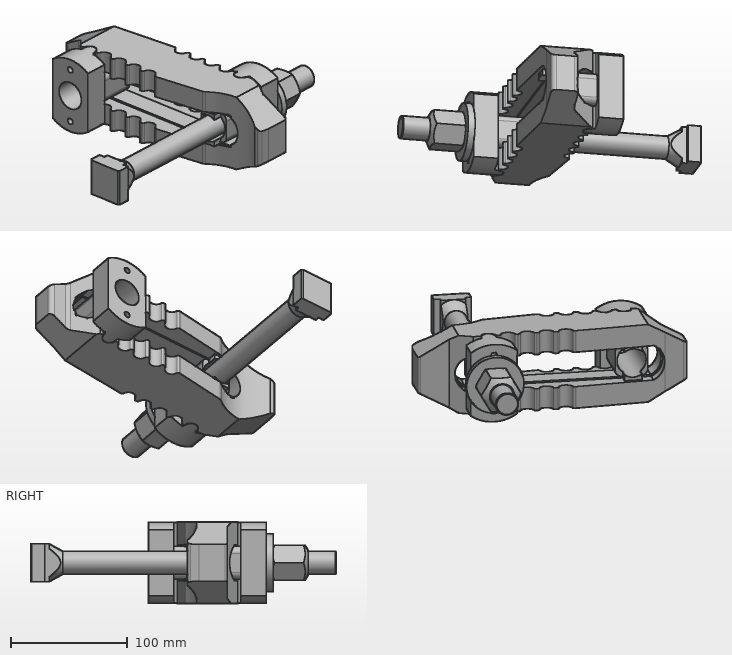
import cadquery as cq
import math


TIP_Y = 26.0
NOTCH_R = 6.3
NOTCH_FLOOR_Y = TIP_Y - NOTCH_R
NOTCH_COUNT = 5
NOTCH_PITCH = 67.5 / (NOTCH_COUNT - 1)
LOWER_X = 47.2
BOLT_X = 175.0
TOOTH_FILLET = 1.8
UPPER_LAND = 2.0
LOWER_LAND = 2.5

BAR_LENGTH = 235.0
BAR_WIDTH = 70.0
BAR_TIP_WIDTH = 31.5
BAR_TAPER = 34.8
TIP_CORNER_R = 4.0
HEEL_TOP_CORNER_R = 2.0
HEEL_CORNER_R = 3.0
BLEND_R = 5.2
TIP_TOP_Y = 19.5
TIP_BOTTOM_Y = -4.5
HEEL_TOP_Y = 17.0
HEEL_BOTTOM_Y = -17.0
HEEL_SLOPE_START_X = 188.6
HEEL_SLOPE_END_X = 207.8
HEEL_TILT_Y = -7.3
HEEL_TOE_X = 234.0
ARCH_START = (172.5, -19.6)
ARCH_CROWN = (201.5, -9.0)
ARCH_END_X = 228.2
TIP_TOP_END_X = 20.2
TIP_BOTTOM_END_X = 18.3
TIP_SLOPE_END_X = 37.2

SLOT_WIDTH = 28.0
SLOT_END_R = 15.5
SLOT_LEFT_X = 21.5
SLOT_RIGHT_X = 201.7
LEDGE_DEPTH = 1.45
SLOT_MOUTH_WIDTH = SLOT_WIDTH + 2 * LEDGE_DEPTH
LEDGE_Y = 9.5

BLOCK_R = 34.8
BLOCK_WIDTH = 40.3
BLOCK_HEIGHT = 21.7
BLOCK_FACE_Y = 28.8
RIB_FILLET = 1.0
BORE_D = 25.5
SMALL_HOLE_D = 5.5
SMALL_HOLE_Z = 25.0
HUB_SIZE_X = 28.5
HUB_CORNER_R = 5.8
HOOK_WIDTH = 15.2
HOOK_LENGTH = 8.0

BOLT_D = 20.0
BOLT_TOP_Y = 110.5
BOLT_LENGTH = 262.0
BOLT_CHAMFER = 0.8
HEAD_SIZE = 32.8
HEAD_HEIGHT = 12.0
HEAD_CHAMFER_X = 1.5
HEAD_CHAMFER_Y = 1.0
NECK_WIDTH = 21.7
NECK_HEIGHT = 4.0
CONE_HEIGHT = 11.3
CONE_R = 16.2
WASHER_D = 50.0
WASHER_THICKNESS = 6.0
NUT_FLATS = 30.5
NUT_HEIGHT = 29.9
NUT_TOP_R = 10.7
NUT_TOP_CHAMFER = 4.0
NUT_BOTTOM_R = 16.2
NUT_BOTTOM_CHAMFER = 1.0

WASHER_Y = BLOCK_FACE_Y + BLOCK_HEIGHT
NUT_Y = WASHER_Y + WASHER_THICKNESS


def cylinder_y(x, y, radius, height):
    """Upright cylinder along +Y whose base centre is at (x, y, 0)."""
    return cq.Workplane(cq.Solid.makeCylinder(radius, height, cq.Vector(x, y, 0), cq.Vector(0, 1, 0)))


def box_y(size_x, y_low, y_high, size_z):
    """Box centred on X = 0 and Z = 0 between two heights."""
    return cq.Workplane().box(size_x, y_high - y_low, size_z).translate((0, (y_low + y_high) / 2, 0))


def edges_at(x, y):
    """Selector for the edge along Z that passes through (x, y)."""
    reach = 0.13
    return cq.selectors.BoxSelector((x - reach, y - reach, -BAR_WIDTH), (x + reach, y + reach, BAR_WIDTH))


def bar_side_profile():
    """Bar seen along Z, with sharp corners and before the notches are cut."""
    first_upper_x = BOLT_X - (NOTCH_COUNT - 1) * NOTCH_PITCH
    last_lower_x = LOWER_X + (NOTCH_COUNT - 1) * NOTCH_PITCH
    return (
        cq.Workplane()
        .moveTo(0, TIP_BOTTOM_Y)
        .lineTo(0, TIP_TOP_Y)
        .lineTo(TIP_TOP_END_X, TIP_TOP_Y)
        .lineTo(first_upper_x - NOTCH_R - UPPER_LAND, TIP_Y)
        .lineTo(HEEL_SLOPE_START_X, TIP_Y)
        .lineTo(HEEL_SLOPE_END_X, HEEL_TOP_Y)
        .lineTo(BAR_LENGTH, HEEL_TOP_Y)
        .lineTo(BAR_LENGTH, HEEL_TILT_Y)
        .lineTo(HEEL_TOE_X, HEEL_BOTTOM_Y)
        .lineTo(ARCH_END_X, HEEL_BOTTOM_Y)
        .threePointArc(ARCH_CROWN, ARCH_START)
        .lineTo(last_lower_x + NOTCH_R + LOWER_LAND, -TIP_Y)
        .lineTo(TIP_SLOPE_END_X, -TIP_Y)
        .lineTo(TIP_BOTTOM_END_X, TIP_BOTTOM_Y)
        .close()
    )


def bar_plan():
    """Bar seen along Y: full width in the middle, tapered at both ends."""
    half = BAR_WIDTH / 2
    tip = BAR_TIP_WIDTH / 2
    corners = [
        (0, -tip), (BAR_TAPER, -half), (BAR_LENGTH - BAR_TAPER, -half), (BAR_LENGTH, -tip),
        (BAR_LENGTH, tip), (BAR_LENGTH - BAR_TAPER, half), (BAR_TAPER, half), (0, tip),
    ]
    return cq.Workplane("XZ").polyline(corners).close().extrude(2 * TIP_Y, both=True)


def slot_cut(offset, y_low, y_high):
    """Slot with straight sides and arc ends, grown outwards by an offset."""
    end_r = SLOT_END_R + offset
    length = SLOT_RIGHT_X - SLOT_LEFT_X + 2 * offset
    ends = cq.Workplane("XZ", origin=(0, y_low, 0)).slot2D(length, 2 * end_r).extrude(y_low - y_high)
    sides = box_y(length, y_low, y_high, SLOT_WIDTH + 2 * offset)
    return ends.intersect(sides).translate(((SLOT_LEFT_X + SLOT_RIGHT_X) / 2, 0, 0))


def make_bar():
    bar = bar_side_profile().extrude(BAR_WIDTH / 2, both=True)

    for x, y, radius in (
        (0, TIP_TOP_Y, TIP_CORNER_R),
        (0, TIP_BOTTOM_Y, TIP_CORNER_R),
        (TIP_BOTTOM_END_X, TIP_BOTTOM_Y, BLEND_R),
        (BAR_LENGTH, HEEL_TOP_Y, HEEL_TOP_CORNER_R),
        (HEEL_TOE_X, HEEL_BOTTOM_Y, HEEL_CORNER_R),
        (*ARCH_START, BLEND_R),
    ):
        bar = bar.edges(edges_at(x, y)).fillet(radius)

    for i in range(NOTCH_COUNT):
        step = i * NOTCH_PITCH
        for x, y in ((BOLT_X - step, TIP_Y), (LOWER_X + step, -TIP_Y)):
            notch = cq.Workplane(origin=(x, y, 0)).circle(NOTCH_R).extrude(BAR_WIDTH, both=True)
            bar = bar.cut(notch)
            for side in (-1, 1):
                bar = bar.edges(edges_at(x + side * NOTCH_R, y)).fillet(TOOTH_FILLET)

    bar = bar.intersect(bar_plan())
    bar = bar.cut(slot_cut(0, -2 * TIP_Y, 2 * TIP_Y))
    bar = bar.cut(slot_cut(LEDGE_DEPTH, LEDGE_Y, 2 * TIP_Y))
    return bar.cut(slot_cut(LEDGE_DEPTH, -2 * TIP_Y, -LEDGE_Y))


def make_upper_block():
    """Block above the bar, on the axis X = 0, with its hub pointing down."""
    outer_y = BLOCK_FACE_Y + BLOCK_HEIGHT
    round_stock = cylinder_y(0, NOTCH_FLOOR_Y, BLOCK_R, outer_y - NOTCH_FLOOR_Y)
    block = box_y(BLOCK_WIDTH, BLOCK_FACE_Y, outer_y, BAR_WIDTH)

    rib = (
        cq.Workplane()
        .moveTo(-NOTCH_R, BLOCK_FACE_Y)
        .lineTo(-NOTCH_R, TIP_Y)
        .threePointArc((0, NOTCH_FLOOR_Y), (NOTCH_R, TIP_Y))
        .lineTo(NOTCH_R, BLOCK_FACE_Y)
        .close()
        .extrude(BAR_WIDTH / 2, both=True)
    )
    block = block.union(rib)
    for side in (-1, 1):
        block = block.edges(edges_at(side * NOTCH_R, BLOCK_FACE_Y)).fillet(RIB_FILLET)
    block = block.intersect(round_stock)

    hub = box_y(HUB_SIZE_X, -LEDGE_Y, BLOCK_FACE_Y, SLOT_WIDTH).edges("|Y").fillet(HUB_CORNER_R)
    hooks = box_y(HOOK_WIDTH, -LEDGE_Y - HOOK_LENGTH, -LEDGE_Y, SLOT_MOUTH_WIDTH)
    block = block.union(hub).union(hooks)

    block = block.cut(cylinder_y(0, -outer_y, BORE_D / 2, 2 * outer_y))
    for side in (-1, 1):
        hole = cylinder_y(0, 0, SMALL_HOLE_D / 2, outer_y).translate((0, 0, side * SMALL_HOLE_Z))
        block = block.cut(hole)
    return block


def make_blocks():
    """The same block above and, turned upside down, below the bar."""
    block = make_upper_block()
    blocks = []
    for x, turn in ((BOLT_X, 0), (LOWER_X, 180)):
        placed = block.rotate((0, 0, 0), (0, 0, 1), turn).translate((x, 0, 0))
        blocks.append(placed.val())
    return blocks


def make_bolt():
    bottom_y = BOLT_TOP_Y - BOLT_LENGTH
    shoulder_y = bottom_y + HEAD_HEIGHT
    neck_y = shoulder_y + NECK_HEIGHT
    shank_y = neck_y + CONE_HEIGHT

    half = HEAD_SIZE / 2
    head = (
        cq.Workplane()
        .polyline([
            (-half + HEAD_CHAMFER_X, bottom_y), (half - HEAD_CHAMFER_X, bottom_y),
            (half, bottom_y + HEAD_CHAMFER_Y), (half, shoulder_y),
            (-half, shoulder_y), (-half, bottom_y + HEAD_CHAMFER_Y),
        ])
        .close()
        .extrude(half, both=True)
    )
    neck = box_y(NECK_WIDTH, shoulder_y, neck_y, HEAD_SIZE)

    cone = cq.Workplane(
        cq.Solid.makeCone(CONE_R, BOLT_D / 2, CONE_HEIGHT, cq.Vector(0, neck_y, 0), cq.Vector(0, 1, 0))
    ).intersect(box_y(NECK_WIDTH, neck_y, shank_y, HEAD_SIZE))

    shank = cylinder_y(0, shank_y, BOLT_D / 2, BOLT_TOP_Y - shank_y).faces(">Y").chamfer(BOLT_CHAMFER)
    return head.union(neck).union(cone).union(shank).translate((BOLT_X, 0, 0))


def make_washer():
    ring = cylinder_y(BOLT_X, WASHER_Y, WASHER_D / 2, WASHER_THICKNESS)
    return ring.cut(cylinder_y(BOLT_X, WASHER_Y, BOLT_D / 2, WASHER_THICKNESS))


def make_nut():
    corner_r = NUT_FLATS / math.sqrt(3)
    hexagon = cq.Workplane("XZ").polygon(6, 2 * corner_r).extrude(-NUT_HEIGHT)

    envelope = (
        cq.Workplane()
        .polyline([
            (BOLT_D / 2, 0), (NUT_BOTTOM_R, 0), (corner_r, NUT_BOTTOM_CHAMFER),
            (corner_r, NUT_HEIGHT - NUT_TOP_CHAMFER), (NUT_TOP_R, NUT_HEIGHT), (BOLT_D / 2, NUT_HEIGHT),
        ])
        .close()
        .revolve(360, (0, 0, 0), (0, 1, 0))
    )
    return hexagon.intersect(envelope).translate((BOLT_X, NUT_Y, 0))


bar = make_bar()
blocks = make_blocks()
bolt = make_bolt()
washer = make_washer()
nut = make_nut()

result = cq.Compound.makeCompound([bar.val(), *blocks, bolt.val(), washer.val(), nut.val()])